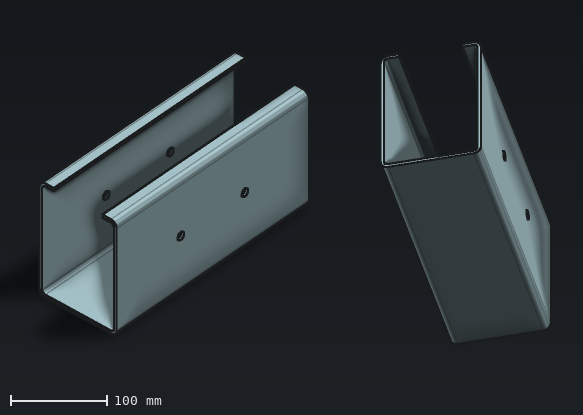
import cadquery as cq

length = 300.0
width = 108.0
height = 150.0
thickness = 4.0
inner_bend_radius = 4.2
outer_bend_radius = inner_bend_radius + thickness
lip_opening = 67.8

hole_diameter = 10.0
hole_spacing = 100.0


def rounded_tube(tube_width, tube_height, corner_radius):
    """Solid bar along Y with its four long edges rounded."""
    return cq.Workplane("XY").box(tube_width, length, tube_height).edges("|Y").fillet(corner_radius)


def channel():
    """Bent sheet profile: a rounded tube left open between two top lips."""
    outside = rounded_tube(width, height, outer_bend_radius)
    inside = rounded_tube(width - 2 * thickness, height - 2 * thickness, inner_bend_radius)
    opening = cq.Workplane("XY").box(lip_opening, length, height / 2, centered=(True, True, False))
    return outside.cut(inside).cut(opening)


def wall_holes():
    """Two cylinders along X, each passing through both side walls."""
    return (
        cq.Workplane("YZ")
        .pushPoints([(-hole_spacing / 2, 0), (hole_spacing / 2, 0)])
        .circle(hole_diameter / 2)
        .extrude(width, both=True)
    )


result = channel().cut(wall_holes())